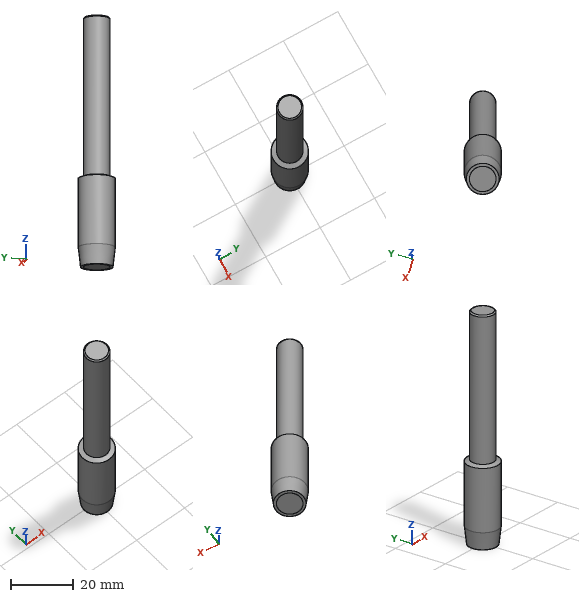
import cadquery as cq

total_length = 82.0
head_diameter = 12.0
shoulder_base_z = 29.0
shoulder_height = 0.65
nose_height = 6.4
nose_tip_diameter = 10.5

shank_diameter = 8.5
shank_chamfer = 0.5

head_length = shoulder_base_z + shoulder_height


def make_head():
    """Round sleeve with a through bore, a tapered nose below and a sloped shoulder above."""
    head_radius = head_diameter / 2
    return (
        cq.Workplane("XZ")
        .moveTo(shank_diameter / 2, 0)
        .lineTo(nose_tip_diameter / 2, 0)
        .lineTo(head_radius, nose_height)
        .lineTo(head_radius, shoulder_base_z)
        .lineTo(shank_diameter / 2, head_length)
        .close()
        .revolve(360, (0, 0, 0), (0, 1, 0))
    )


def make_shank():
    """Straight shank through the head, flush with the nose and chamfered at its top end."""
    return (
        cq.Workplane("XY")
        .circle(shank_diameter / 2)
        .extrude(total_length)
        .faces(">Z")
        .chamfer(shank_chamfer)
    )


head = make_head()
shank = make_shank()

result = cq.Compound.makeCompound([head.val(), shank.val()])